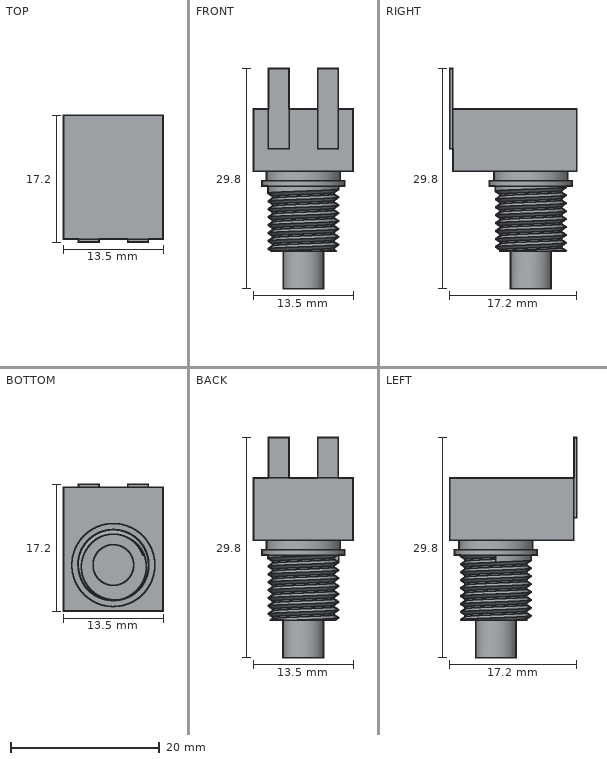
import cadquery as cq
import math


body_width = 13.46
body_depth = 16.76
body_height = 8.43
axis_to_front = 10.53

terminal_width = 2.79
terminal_thickness = 0.41
terminal_length = 10.88
terminal_spacing = 6.64
terminal_rise = 5.48

collar_diameter = 10.0
collar_length = 1.25
flange_diameter = 11.22
flange_thickness = 0.74

bushing_diameter = 9.6
bushing_length = 8.79
thread_pitch = 1.07
groove_root_diameter = 8.36
groove_root_width = 0.25
groove_mouth_width = 1.12
groove_start_drop = 0.45
groove_overshoot = 0.05

shaft_diameter = 5.5
shaft_length = 5.10

flange_top = -collar_length
bushing_top = flange_top - flange_thickness
bushing_bottom = bushing_top - bushing_length
body_front = -axis_to_front


def cylinder(diameter, top, length):
    """Solid cylinder on the Z axis, reaching down from `top`."""
    return cq.Workplane("XY").workplane(offset=top).circle(diameter / 2).extrude(-length)


def make_body():
    return cq.Workplane("XY").box(
        body_width, body_depth, body_height, centered=(True, False, False)
    ).translate((0, body_front, 0))


def make_terminal(x_center):
    bottom = body_height + terminal_rise - terminal_length
    return cq.Workplane("XY").box(
        terminal_width, terminal_thickness, terminal_length, centered=(True, False, False)
    ).translate((x_center, body_front - terminal_thickness, bottom))


def make_groove_half_turn():
    """Cutter for half a turn of the right-handed V groove, climbing from +X to -X from Z = 0."""
    root_radius = groove_root_diameter / 2
    mouth_radius = bushing_diameter / 2
    outer_radius = mouth_radius + groove_overshoot
    half_root = groove_root_width / 2
    half_mouth = groove_mouth_width / 2
    flank_slope = (half_mouth - half_root) / (mouth_radius - root_radius)
    half_outer = half_mouth + flank_slope * groove_overshoot

    path = cq.Wire.makeHelix(thread_pitch, thread_pitch / 2, root_radius)
    profile = (
        cq.Workplane("XZ")
        .moveTo(root_radius, -half_root)
        .lineTo(outer_radius, -half_outer)
        .lineTo(outer_radius, half_outer)
        .lineTo(root_radius, half_root)
        .close()
    )
    return profile.sweep(cq.Workplane(obj=path), isFrenet=True)


def make_bushing():
    """Threaded bushing: the groove starts on the -X side and runs out of the lower end."""
    bushing = cylinder(bushing_diameter, bushing_top, bushing_length)
    half_turn = make_groove_half_turn()
    half_rise = thread_pitch / 2
    groove_start = bushing_top - groove_start_drop
    groove_end = bushing_bottom - groove_mouth_width / 2
    half_turn_count = math.ceil((groove_start - groove_end) / half_rise)

    for index in range(half_turn_count):
        cutter = half_turn.rotate((0, 0, 0), (0, 0, 1), 180 * index)
        cutter = cutter.translate((0, 0, groove_start - (index + 1) * half_rise))
        bushing = bushing.cut(cutter, clean=False)
    return bushing


result = make_body()
for side in (-1, 1):
    result = result.union(make_terminal(side * terminal_spacing / 2))
result = result.union(cylinder(collar_diameter, 0, collar_length))
result = result.union(cylinder(flange_diameter, flange_top, flange_thickness))
result = result.union(make_bushing(), clean=False)
result = result.union(cylinder(shaft_diameter, bushing_bottom, shaft_length), clean=False)